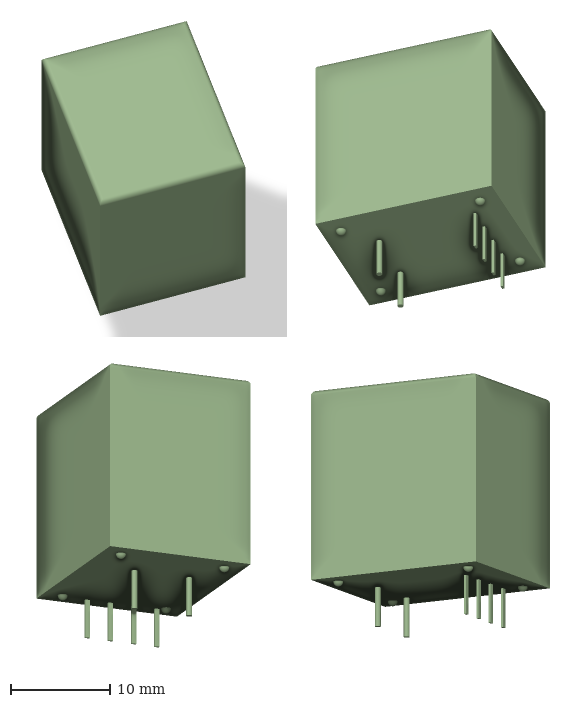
import cadquery as cq

housing_length = 19.0
housing_width = 15.4
housing_height = 19.5
rim_radius = 0.5

foot_radius = 0.5
foot_spacing_x = 15.0
foot_spacing_y = 11.33

total_height = 24
pin_top = -foot_radius
pin_length = total_height - housing_height - foot_radius

flat_pin_thickness = 0.25
flat_pin_width = 0.5
flat_pin_count = 4
flat_pin_pitch = 2.55
flat_row_x = -6.48
flat_row_center_y = 0.4

round_pin_diameter = 0.6
round_pin_count = 2
round_pin_pitch = 6.0
round_row_x = 4.32
round_row_center_y = 0.17


def make_housing():
    """Block standing on Z = 0, with spheres half sunk into its underside as feet."""
    block = (
        cq.Workplane("XY")
        .box(housing_length, housing_width, housing_height, centered=(True, True, False))
        .faces(">Z")
        .edges()
        .fillet(rim_radius)
    )
    feet = (
        cq.Workplane("XY")
        .rect(foot_spacing_x, foot_spacing_y, forConstruction=True)
        .vertices()
        .sphere(foot_radius)
    )
    return block.union(feet)


def make_flat_pin(x, y):
    return (
        cq.Workplane("XY", origin=(x, y, pin_top))
        .rect(flat_pin_thickness, flat_pin_width)
        .extrude(-pin_length)
    )


def make_round_pin(x, y):
    return (
        cq.Workplane("XY", origin=(x, y, pin_top))
        .circle(round_pin_diameter / 2)
        .extrude(-pin_length)
    )


def row_positions(count, pitch, center):
    """Evenly spaced coordinates, symmetric about the row center."""
    return [center + (i - (count - 1) / 2) * pitch for i in range(count)]


housing = make_housing()
flat_pins = [
    make_flat_pin(flat_row_x, y)
    for y in row_positions(flat_pin_count, flat_pin_pitch, flat_row_center_y)
]
round_pins = [
    make_round_pin(round_row_x, y)
    for y in row_positions(round_pin_count, round_pin_pitch, round_row_center_y)
]

result = cq.Compound.makeCompound(
    [housing.val()] + [pin.val() for pin in flat_pins + round_pins]
)